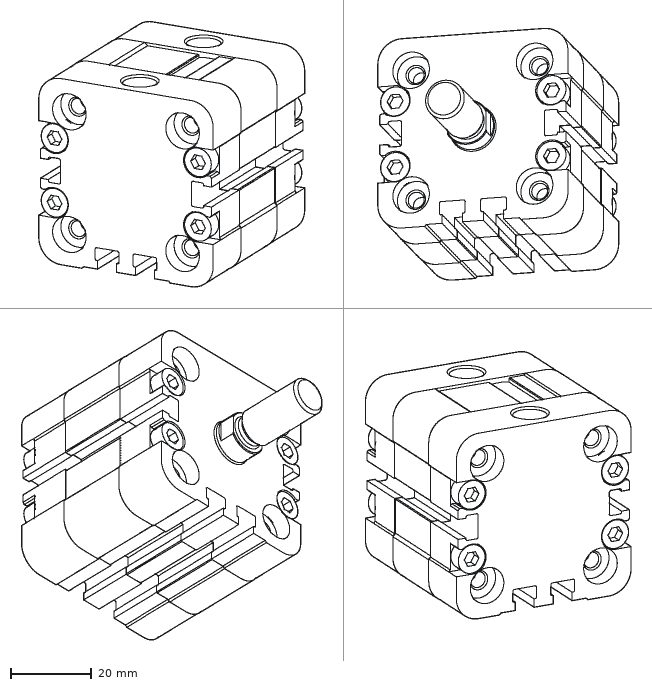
import cadquery as cq
import math

width = 49.2
half = width / 2
cap_length = 15.0
barrel_length = 19.45
housing_length = 2 * cap_length + barrel_length
total_length = 77.5
cap_corner_radius = 6.3
barrel_corner_radius = 6.1
overcut = 0.8

recess_depth = 0.5
deep_recess_depth = 0.8
cap_recess_half = 12.5
barrel_recess_half = 12.7

slot_mouth_half = 2.6
slot_inner_half = 3.3
slot_lip_depth = 2.7
slot_depth = 6.1
slot_corner_radius = 0.5
bottom_slot_offset = 5.35
barrel_slot_clearance = 0.1
barrel_slot_bevel = 0.2

groove_offset = 5.35
groove_half = 2.7
groove_crown_depth = 1.3
groove_crown_half = 0.85
groove_edge_depth = 1.6

screw_x = 20.2
screw_z = 8.5
head_diameter = 7.5
head_bore_diameter = 8.0
head_length = 4.0
rear_head_recess = 0.15
front_head_recess = 0.4
hex_across_flats = 3.6
hex_depth = 2.5
notch_inner_z = 5.4
notch_chamfer = 0.5

mount_x = 16.0
mount_z = 16.2
mount_bore_diameter = 9.45
mount_bore_depth = 4.5
mount_hole_diameter = 4.1
mount_rim_diameter = 5.0
mount_hole_depth = 10.0

port_y = 7.5
port_diameter = 8.6
port_rim_diameter = 9.7
port_depth = 8.0

rod_diameter = 12.0
collar_diameter = 11.5
thread_diameter = 10.0
undercut_diameter = 8.0
undercut_end_diameter = 9.0
flats_width = 10.0
tip_chamfer = 0.8
thread_end = 19.1
undercut_start = 20.15
undercut_end = 21.4
collar_start = 22.1
collar_chamfer = 0.2
flats_end = 26.5
collar_end = 27.4


def prism(outline, length):
    """Extrude an outline of (x, z) points along +Y from Y = 0."""
    return cq.Workplane("XZ").polyline(outline).close().extrude(-length)


def disc(x, z, diameter, depth):
    """Cylinder along +Y that starts at Y = 0."""
    return cq.Workplane("XZ").center(x, z).circle(diameter / 2).extrude(-depth)


def cone(x, z, start_diameter, end_diameter, start_y):
    """45 degree countersink along +Y that narrows from one diameter to another."""
    depth = (start_diameter - end_diameter) / 2
    rim = cq.Workplane("XZ", origin=(0, start_y, 0)).center(x, z).circle(start_diameter / 2)
    return rim.workplane(offset=-depth).circle(end_diameter / 2).loft()


def rounded_block(length, corner_radius):
    block = cq.Workplane("XZ").rect(width, width).extrude(-length)
    return block.edges("|Y").fillet(corner_radius)


def turned(tool, angle):
    """Turn a tool made for the bottom face about the housing axis."""
    return tool.rotate((0, 0, 0), (0, 1, 0), angle)


left_turn = 90
right_turn = -90


def t_slot(offset, length, clearance=0, corner_radius=0):
    mouth = slot_mouth_half + clearance
    inner = slot_inner_half + clearance
    mouth_outline = [
        (-mouth, -half - overcut),
        (mouth, -half - overcut),
        (mouth, -half + slot_depth),
        (-mouth, -half + slot_depth),
    ]
    inner_outline = [
        (-inner, -half + slot_lip_depth),
        (inner, -half + slot_lip_depth),
        (inner, -half + slot_depth),
        (-inner, -half + slot_depth),
    ]
    chamber = prism(inner_outline, length)
    if corner_radius > 0:
        chamber = chamber.edges("|Y").fillet(corner_radius)
    return chamber.union(prism(mouth_outline, length)).translate((offset, 0, 0))


slot_places = [
    (0, -bottom_slot_offset),
    (0, bottom_slot_offset),
    (left_turn, 0),
    (right_turn, 0),
]


def cut_t_slots(body, length, **shape):
    for angle, offset in slot_places:
        body = body.cut(turned(t_slot(offset, length, **shape), angle))
    return body


def face_recess(side, depth, end_half, length):
    """Recess with a 45 degree end, from the middle of the bottom face to the given side."""
    outline = [
        (0, -half - overcut),
        (0, -half + depth),
        (side * (end_half - depth), -half + depth),
        (side * (end_half + overcut), -half - overcut),
    ]
    return prism(outline, length)


def screw_seat(side_x, side_z, depth):
    """Screw head bore that is open towards the side face of the cap."""
    outer = half + overcut
    floor_x = half - recess_depth
    outline = [
        (screw_x, notch_inner_z),
        (floor_x - notch_chamfer, notch_inner_z),
        (floor_x, notch_inner_z - notch_chamfer),
        (outer, notch_inner_z - notch_chamfer),
        (outer, cap_recess_half),
        (screw_x, cap_recess_half),
    ]
    notch = prism([(side_x * x, side_z * z) for x, z in outline], depth)
    return notch.union(disc(side_x * screw_x, side_z * screw_z, head_bore_diameter, depth))


def screw_head(x, z, recess):
    head = disc(x, z, head_diameter, head_length)
    hex_diameter = hex_across_flats / math.cos(math.pi / 6)
    socket = cq.Workplane("XZ").center(x, z).polygon(6, hex_diameter).extrude(-hex_depth)
    return head.cut(socket).translate((0, recess, 0))


def mounting_hole(x, z):
    counterbore = disc(x, z, mount_bore_diameter, mount_bore_depth)
    rim = cone(x, z, mount_rim_diameter, mount_hole_diameter, mount_bore_depth)
    return counterbore.union(disc(x, z, mount_hole_diameter, mount_hole_depth)).union(rim)


def port():
    rim_depth = (port_rim_diameter - port_diameter) / 2
    face = cq.Workplane("XY", origin=(0, port_y, half))
    hole = face.circle(port_diameter / 2).extrude(-port_depth)
    rim = face.circle(port_rim_diameter / 2).workplane(offset=-rim_depth)
    rim = rim.circle(port_diameter / 2).loft()
    return hole.union(rim)


def make_cap(head_recess):
    """End cap with its outer face at Y = 0 and its screw heads sunk below that face."""
    cap = rounded_block(cap_length, cap_corner_radius)
    for angle in (0, left_turn, right_turn):
        for side in (-1, 1):
            recess = face_recess(side, recess_depth, cap_recess_half, cap_length)
            cap = cap.cut(turned(recess, angle))
    cap = cut_t_slots(cap, cap_length, corner_radius=slot_corner_radius)
    cap = cap.cut(port())
    seat_depth = head_recess + head_length
    corners = [(side_x, side_z) for side_x in (-1, 1) for side_z in (-1, 1)]
    for side_x, side_z in corners:
        cap = cap.cut(mounting_hole(side_x * mount_x, side_z * mount_z))
        cap = cap.cut(screw_seat(side_x, side_z, seat_depth))
        cap = cap.union(screw_head(side_x * screw_x, side_z * screw_z, head_recess))
    return cap


def slot_bevel(side, offset, recess):
    """Bevel on one edge of a slot mouth that opens into a recess of the given depth."""
    mouth = slot_mouth_half + barrel_slot_clearance
    mouth_z = -half + recess
    outline = [
        (offset, mouth_z),
        (offset + side * (mouth + barrel_slot_bevel), mouth_z),
        (offset + side * mouth, mouth_z + barrel_slot_bevel),
        (offset, mouth_z + barrel_slot_bevel),
    ]
    return prism(outline, barrel_length)


def top_recess():
    """Deep recess on the -X side, a groove with a crowned floor and a shallow strip."""
    groove_left = groove_offset - groove_half
    groove_right = groove_offset + groove_half
    crown_left = groove_offset - groove_crown_half
    crown_right = groove_offset + groove_crown_half
    run = groove_half - groove_crown_half
    drop = groove_edge_depth - groove_crown_depth
    crown_radius = (run**2 + drop**2) / (2 * drop)
    half_angle = math.asin(run / crown_radius) / 2
    mid_run = crown_radius * math.sin(half_angle)
    mid_z = half - groove_crown_depth - crown_radius * (1 - math.cos(half_angle))
    return (
        cq.Workplane("XZ")
        .moveTo(-barrel_recess_half - overcut, half + overcut)
        .lineTo(-barrel_recess_half + deep_recess_depth, half - deep_recess_depth)
        .lineTo(groove_left - barrel_slot_bevel, half - deep_recess_depth)
        .lineTo(groove_left, half - deep_recess_depth - barrel_slot_bevel)
        .lineTo(groove_left, half - groove_edge_depth)
        .threePointArc((crown_left - mid_run, mid_z), (crown_left, half - groove_crown_depth))
        .lineTo(crown_right, half - groove_crown_depth)
        .threePointArc((crown_right + mid_run, mid_z), (groove_right, half - groove_edge_depth))
        .lineTo(groove_right, half - recess_depth - barrel_slot_bevel)
        .lineTo(groove_right + barrel_slot_bevel, half - recess_depth)
        .lineTo(barrel_recess_half - recess_depth, half - recess_depth)
        .lineTo(barrel_recess_half + overcut, half + overcut)
        .close()
        .extrude(-barrel_length)
    )


def make_barrel():
    """Barrel with its rear end at Y = 0."""
    barrel = rounded_block(barrel_length, barrel_corner_radius)
    barrel = barrel.cut(top_recess())
    recesses = [
        (0, -1, recess_depth),
        (0, 1, recess_depth),
        (left_turn, 1, deep_recess_depth),
        (left_turn, -1, recess_depth),
        (right_turn, -1, deep_recess_depth),
        (right_turn, 1, recess_depth),
    ]
    for angle, side, depth in recesses:
        recess = face_recess(side, depth, barrel_recess_half, barrel_length)
        barrel = barrel.cut(turned(recess, angle))
        for slot_angle, offset in slot_places:
            if slot_angle == angle:
                barrel = barrel.cut(turned(slot_bevel(side, offset, depth), angle))
    return cut_t_slots(barrel, barrel_length, clearance=barrel_slot_clearance)


def make_rod():
    """Threaded rod that ends at the barrel; its half outline is (radius, distance from tip)."""
    rod_length = total_length - cap_length - barrel_length
    cone_end = total_length - housing_length
    half_outline = [
        (0, 0),
        (thread_diameter / 2 - tip_chamfer, 0),
        (thread_diameter / 2, tip_chamfer),
        (thread_diameter / 2, thread_end),
        (undercut_diameter / 2, undercut_start),
        (undercut_diameter / 2, undercut_end),
        (undercut_end_diameter / 2, collar_start),
        (collar_diameter / 2 - collar_chamfer, collar_start),
        (collar_diameter / 2, collar_start + collar_chamfer),
        (collar_diameter / 2, collar_end),
        (rod_diameter / 2, cone_end),
        (rod_diameter / 2, rod_length),
        (0, rod_length),
    ]
    outline = [(radius, total_length - distance) for radius, distance in half_outline]
    rod = cq.Workplane("XY").polyline(outline).close().revolve(360, (0, 0, 0), (0, 1, 0))
    flats_length = flats_end - collar_start
    flats_middle = total_length - collar_start - flats_length / 2
    cutter_x = (flats_width + rod_diameter) / 2
    for side in (-1, 1):
        cutter = cq.Workplane("XY").box(rod_diameter, flats_length, rod_diameter)
        rod = rod.cut(cutter.translate((side * cutter_x, flats_middle, 0)))
    return rod


rear_cap = make_cap(rear_head_recess)
barrel = make_barrel().translate((0, cap_length, 0))
rod_bore = disc(0, 0, rod_diameter, cap_length)
front_cap = make_cap(front_head_recess).cut(rod_bore).mirror("XZ").translate((0, housing_length, 0))
rod = make_rod()

result = cq.Compound.makeCompound([rear_cap.val(), barrel.val(), front_cap.val(), rod.val()])